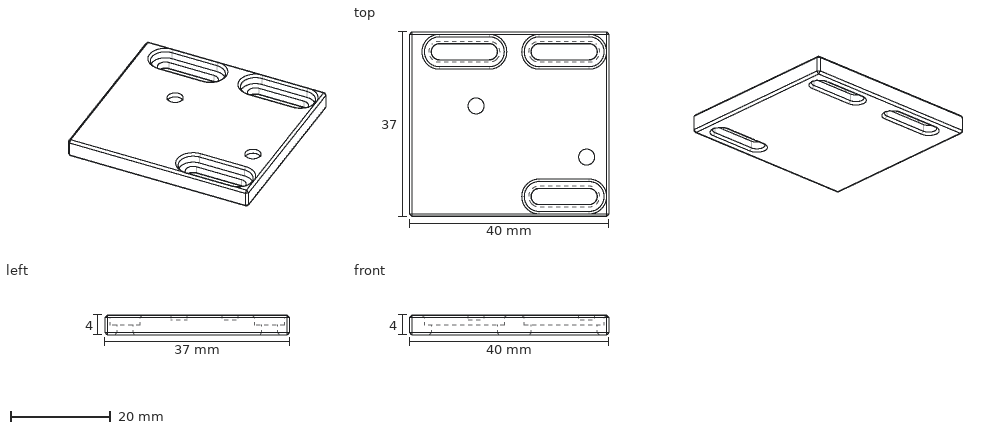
import cadquery as cq

LENGTH = 40.0
WIDTH = 37.0
THICKNESS = 4.0
EDGE_CHAMFER = 0.5

SLOT_TRAVEL = 10.0
SLOT_WIDTH = 3.2
RECESS_WIDTH = 6.0
RECESS_DEPTH = 2.0
SLOT_CHAMFER = 0.5
SLOT_EDGE_DISTANCE = 4.0
SLOT_Y = WIDTH / 2 - SLOT_EDGE_DISTANCE
LEFT_SLOT_X = -9.0
RIGHT_SLOT_X = 11.0
SLOT_CENTERS = [
    (LEFT_SLOT_X, SLOT_Y),
    (RIGHT_SLOT_X, SLOT_Y),
    (RIGHT_SLOT_X, -SLOT_Y),
]

HOLE_DIAMETER = 3.2
HOLE_DEPTH = 1.0
HOLE_CENTERS = [(-6.65, 3.65), (15.5, -6.6)]


def make_plate():
    """Plate with every outer edge chamfered, the upright corners included."""
    plate = cq.Workplane("XY").box(LENGTH, WIDTH, THICKNESS, centered=(True, True, False))
    return plate.edges().chamfer(EDGE_CHAMFER)


def slot_prism(center, width, bottom, height):
    """Round-ended prism along X, standing on the plane Z = bottom."""
    return (
        cq.Workplane("XY", origin=(*center, bottom))
        .slot2D(SLOT_TRAVEL + width, width)
        .extrude(height)
    )


def flared_rim(center, width, inner_z, outer_z):
    """Chamfer cutter widening a slot of the given width from inner_z out to outer_z."""
    rim_width = width + 2 * SLOT_CHAMFER
    return (
        cq.Workplane("XY", origin=(*center, inner_z))
        .slot2D(SLOT_TRAVEL + width, width)
        .workplane(offset=outer_z - inner_z)
        .slot2D(SLOT_TRAVEL + rim_width, rim_width)
        .loft(ruled=True)
    )


def stepped_slot(center):
    """Cutter for a through slot below a wider recess, chamfered at both faces."""
    through = slot_prism(center, SLOT_WIDTH, 0, THICKNESS)
    recess = slot_prism(center, RECESS_WIDTH, THICKNESS - RECESS_DEPTH, RECESS_DEPTH)
    top_rim = flared_rim(center, RECESS_WIDTH, THICKNESS - SLOT_CHAMFER, THICKNESS)
    bottom_rim = flared_rim(center, SLOT_WIDTH, SLOT_CHAMFER, 0)
    return through.union(recess).union(top_rim).union(bottom_rim)


def blind_holes():
    """Round cutters for the blind holes, sunk from the top face."""
    return (
        cq.Workplane("XY", origin=(0, 0, THICKNESS - HOLE_DEPTH))
        .pushPoints(HOLE_CENTERS)
        .circle(HOLE_DIAMETER / 2)
        .extrude(HOLE_DEPTH)
    )


result = make_plate()
for slot_center in SLOT_CENTERS:
    result = result.cut(stepped_slot(slot_center))
result = result.cut(blind_holes())